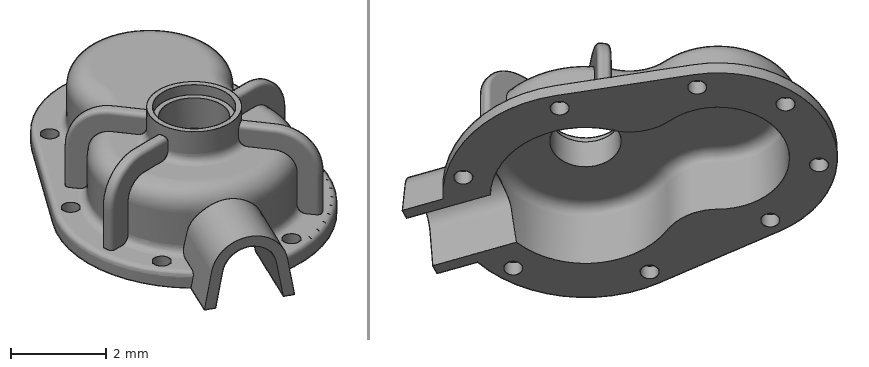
import cadquery as cq
import math


lobe_spacing = 2.99
wall = 0.25

flange_big_radius = 6.0 / 2
flange_small_radius = 2.5
flange_thickness = 0.38
flange_edge_fillet = 0.13

dome_big_radius = 2.245
dome_small_radius = 1.75
dome_neck_radius = 1.0
dome_height = 1.88
dome_top_fillet = 0.5
foot_fillet = 0.19

hub_diameter = 2.0
hub_height = 2.62
bore_diameter = 1.5
counterbore_diameter = 1.75
counterbore_depth = 0.25

overall_length = 9.24
port_height = 1.63
port_arch_radius = 0.85
port_base_half_width = 1.0

rib_thickness = 0.3
rib_reach = 2.75
rib_height = 2.375
rib_bend_radius = 1.0
rib_edge_fillet = 0.1
rib_angles = (60, 120, 240, 300)

bolt_hole_diameter = 0.4
bolt_hole_inset = 0.38

port_end = overall_length - lobe_spacing - flange_small_radius
port_arch_center = port_height - port_arch_radius
tangent_angle = 90 + math.degrees(math.asin((flange_big_radius - flange_small_radius) / lobe_spacing))


def polar(radius, angle, center_x=0.0):
    """Point at a radius and an angle in degrees around a center on the X axis."""
    turn = math.radians(angle)
    return (center_x + radius * math.cos(turn), radius * math.sin(turn))


def make_flange():
    big_upper = polar(flange_big_radius, tangent_angle)
    big_lower = polar(flange_big_radius, -tangent_angle)
    small_upper = polar(flange_small_radius, tangent_angle, -lobe_spacing)
    small_lower = polar(flange_small_radius, -tangent_angle, -lobe_spacing)
    return (
        cq.Workplane("XY")
        .moveTo(*big_lower)
        .threePointArc((flange_big_radius, 0), big_upper)
        .lineTo(*small_upper)
        .threePointArc((-lobe_spacing - flange_small_radius, 0), small_lower)
        .close()
        .extrude(flange_thickness)
        .faces(">Z")
        .edges()
        .fillet(flange_edge_fillet)
    )


def make_lobed_dome(inset, height):
    """Two lobes blended by a tangent neck arc on each side, with a rounded top edge."""
    big = dome_big_radius - inset
    small = dome_small_radius - inset
    neck = dome_neck_radius + inset
    to_big = big + neck
    to_small = small + neck
    neck_x = (to_small**2 - to_big**2 - lobe_spacing**2) / (2 * lobe_spacing)
    neck_y = math.sqrt(to_big**2 - neck_x**2)
    big_joint = (neck_x * big / to_big, neck_y * big / to_big)
    small_joint = (
        -lobe_spacing + (neck_x + lobe_spacing) * small / to_small,
        neck_y * small / to_small,
    )
    neck_low = neck_y - neck
    return (
        cq.Workplane("XY")
        .moveTo(big_joint[0], -big_joint[1])
        .threePointArc((big, 0), big_joint)
        .threePointArc((neck_x, neck_low), small_joint)
        .threePointArc((-lobe_spacing - small, 0), (small_joint[0], -small_joint[1]))
        .threePointArc((neck_x, -neck_low), (big_joint[0], -big_joint[1]))
        .close()
        .extrude(height)
        .faces(">Z")
        .edges()
        .fillet(dome_top_fillet - inset)
    )


def around(half_size, x_min, level):
    """Selector for edges lying at one level inside a rectangle that spans both sides of the X axis."""
    margin = 0.01
    return cq.selectors.BoxSelector(
        (x_min - margin, -half_size - margin, level - margin),
        (half_size + margin, half_size + margin, level + margin),
        boundingbox=True,
    )


def make_port(inset):
    """Arch-topped spout along +X whose straight sides flare out tangentially to its base."""
    radius = port_arch_radius - inset
    half_base = port_base_half_width - inset
    corner_distance = math.hypot(half_base, port_arch_center)
    side_angle = math.acos(radius / corner_distance) - math.atan2(port_arch_center, half_base)
    side_y = radius * math.cos(side_angle)
    side_z = port_arch_center + radius * math.sin(side_angle)
    start = dome_big_radius / 2
    return (
        cq.Workplane("YZ", origin=(start, 0, 0))
        .moveTo(-half_base, 0)
        .lineTo(half_base, 0)
        .lineTo(side_y, side_z)
        .threePointArc((0, port_arch_center + radius), (-side_y, side_z))
        .close()
        .extrude(port_end - start)
    )


def make_rib():
    """Radial rib along +X that runs out from the hub and bends down to the flange."""
    inner = (bore_diameter + hub_diameter) / 4
    profile = (
        cq.Workplane("XZ", origin=(0, rib_thickness / 2, 0))
        .moveTo(inner, flange_thickness / 2)
        .lineTo(rib_reach, flange_thickness / 2)
        .lineTo(rib_reach, rib_height - rib_bend_radius)
        .radiusArc((rib_reach - rib_bend_radius, rib_height), -rib_bend_radius)
        .lineTo(inner, rib_height)
        .close()
        .extrude(rib_thickness)
    )
    outer_edges = profile.faces(">Z or >X").edges("|X or |Z")
    return outer_edges.fillet(rib_edge_fillet)


body = make_flange().union(make_lobed_dome(0, dome_height))
body = body.union(cq.Workplane("XY").circle(hub_diameter / 2).extrude(hub_height))
dome_foot = around(dome_big_radius, -lobe_spacing - dome_small_radius, flange_thickness)
hub_foot = around(hub_diameter / 2, -hub_diameter / 2, dome_height)
body = body.edges(dome_foot).fillet(foot_fillet)
body = body.edges(hub_foot).fillet(foot_fillet)

body = body.union(make_port(0))
for angle in rib_angles:
    body = body.union(make_rib().rotate((0, 0, 0), (0, 0, 1), angle))

body = body.cut(make_lobed_dome(wall, dome_height - wall))
body = body.cut(make_port(wall))

body = body.cut(cq.Workplane("XY").circle(bore_diameter / 2).extrude(hub_height))
hub_top = cq.Workplane("XY", origin=(0, 0, hub_height))
body = body.cut(hub_top.circle(counterbore_diameter / 2).extrude(-counterbore_depth))

big_hole_circle = flange_big_radius - bolt_hole_inset
small_hole_circle = flange_small_radius - bolt_hole_inset
bolt_holes = []
for side in (1, -1):
    for angle in (tangent_angle, tangent_angle / 3):
        bolt_holes.append(polar(big_hole_circle, side * angle))
    for angle in (tangent_angle, 180 - (180 - tangent_angle) / 3):
        bolt_holes.append(polar(small_hole_circle, side * angle, -lobe_spacing))
bolt_cutters = (
    cq.Workplane("XY")
    .pushPoints(bolt_holes)
    .circle(bolt_hole_diameter / 2)
    .extrude(flange_thickness + foot_fillet)
)

result = body.cut(bolt_cutters)